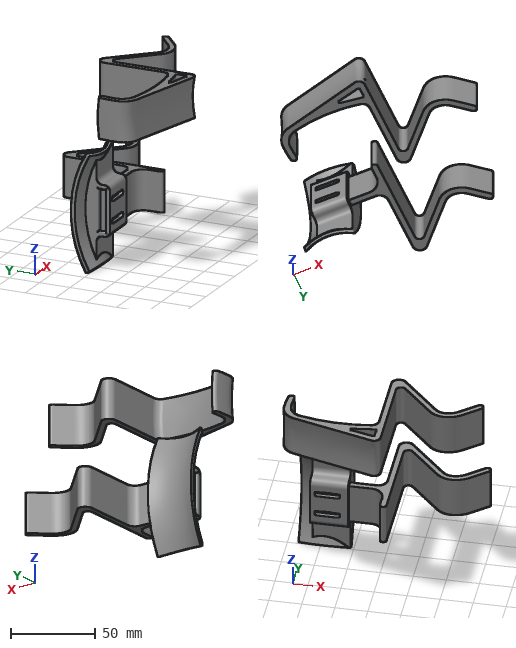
import cadquery as cq
import math

wall = 4.0
clip_height = 25.9
clip_pitch = 63.1
lower_hook_top = 48.0
upper_hook_top = 24.2

crest_radius = 4.7
crook_radius = 3.0
hook_slope = 47.0
bend_drop = 32.3
bend_entry_radius = 12.3
bend_exit_radius = 16.8
tip_angle = 40.0
tip_x = 56.4

lower_post_end = -19.0
tongue_end = -44.1
fillet_above = 5.7
fillet_below = 7.9
screw_diameter = 2.9
screw_chamfer = 0.41
screw_x = -35.0
screw_heights = (-7.0, 7.0)

heel_y = -38.4
heel_radius = 4.0
arm_slope = 15.0
arm_min_x = -58.3
arm_sweep_radius = 64.2
arm_half_angle = 15.0
outer_corner_radius = 10.5
inner_corner_radius = 9.3
lip_radius = 58.3
lip_end = -4.4
floor_radius = 105.0
floor_low = (-22.2, -24.7)
arm_fillet = 4.7
window_corners = [(0, -28.0), (0, -35.2), (-18.8, -30.5)]
window_round = 0.8

saddle_min_x = -53.3
saddle_max_x = -21.6
saddle_top = 16.3
shell_radius = 35.0
shell_thickness = 2.3
shell_sweep_radius = 76.0
shell_half_angle = 30.0
saddle_corner_round = 0.9
plinth_min_x = -44.6
plinth_y = 3.5
sleeve_y = -5.5
sleeve_half_height = 16.3
sleeve_round = 3.9
passage_gap = 0.4
mouth_round = 0.8
slot_width = 3.2
slot_length = 15.4
slot_x = -34.1


def polar(center, radius, degrees):
    """Point on a circle."""
    angle = math.radians(degrees)
    return (center[0] + radius * math.cos(angle), center[1] + radius * math.sin(angle))


def extruded(outline, height):
    """Prism of an XY outline, centred on Z = 0."""
    return outline.extrude(height).translate((0, 0, -height / 2))


def hook(top, post_end):
    """Post and hook of a clip, centred on Z = 0; post_end is the Y of the post's square end."""
    slope = math.radians(hook_slope)
    normal = 90 - hook_slope
    crest = (crest_radius, top - crest_radius)
    crook_x = wall + crook_radius
    crook_offset = crest_radius - wall - crook_radius
    crook_y = crest[1] + (crook_offset - (crook_x - crest[0]) * math.sin(slope)) / math.cos(slope)
    crook = (crook_x, crook_y)
    bottom = top - bend_drop
    entry_y = bottom + bend_entry_radius
    entry_offset = crest_radius + bend_entry_radius - wall
    entry_x = crest[0] + (entry_offset - (entry_y - crest[1]) * math.cos(slope)) / math.sin(slope)
    entry = (entry_x, entry_y)
    leave = (entry_x, bottom + bend_exit_radius)
    entry_start = 180 + normal
    entry_middle = (entry_start + 270) / 2
    leave_end = 270 + tip_angle
    leave_middle = 270 + tip_angle / 2
    centre_start = polar(leave, bend_exit_radius - wall / 2, leave_end)
    tip_rise = (tip_x - centre_start[0]) * math.tan(math.radians(tip_angle))
    tip = (tip_x, centre_start[1] + tip_rise)
    upper_entry = bend_entry_radius - wall
    upper_exit = bend_exit_radius - wall
    outline = (
        cq.Workplane("XY")
        .moveTo(0, post_end)
        .lineTo(0, crest[1])
        .threePointArc(polar(crest, crest_radius, 90 + normal / 2), polar(crest, crest_radius, normal))
        .lineTo(*polar(entry, upper_entry, entry_start))
        .threePointArc(polar(entry, upper_entry, entry_middle), (entry_x, bottom + wall))
        .threePointArc(polar(leave, upper_exit, leave_middle), polar(leave, upper_exit, leave_end))
        .lineTo(*polar(tip, wall / 2, tip_angle + 90))
        .threePointArc(polar(tip, wall / 2, tip_angle), polar(tip, wall / 2, tip_angle - 90))
        .lineTo(*polar(leave, bend_exit_radius, leave_end))
        .threePointArc(polar(leave, bend_exit_radius, leave_middle), (entry_x, bottom))
        .threePointArc(
            polar(entry, bend_entry_radius, entry_middle), polar(entry, bend_entry_radius, entry_start)
        )
        .lineTo(*polar(crook, crook_radius, normal))
        .threePointArc(polar(crook, crook_radius, 90 + normal / 2), polar(crook, crook_radius, 180))
        .lineTo(wall, post_end)
        .close()
    )
    return extruded(outline, clip_height)


def make_lower_clip():
    """Hook whose post carries a straight tongue with a rounded nose and two screw holes."""
    half = wall / 2
    post_round = lower_post_end + half
    nose = tongue_end + half
    foot = extruded(cq.Workplane("XY").center(half, post_round).circle(half), clip_height)
    above = (-fillet_above, half + fillet_above)
    below = (-fillet_below, -half - fillet_below)
    tongue = (
        cq.Workplane("XY")
        .moveTo(half, above[1])
        .lineTo(0, above[1])
        .threePointArc(polar(above, fillet_above, -45), (above[0], half))
        .lineTo(nose, half)
        .threePointArc((tongue_end, 0), (nose, -half))
        .lineTo(below[0], -half)
        .threePointArc(polar(below, fillet_below, 45), (0, below[1]))
        .lineTo(half, below[1])
        .close()
    )
    clip = hook(lower_hook_top, post_round).union(foot)
    clip = clip.union(extruded(tongue, clip_height))
    for z in screw_heights:
        hole = cq.Workplane("XZ", origin=(screw_x, half, z)).circle(screw_diameter / 2).extrude(wall)
        rim = cq.Solid.makeCone(
            screw_diameter / 2 + screw_chamfer,
            screw_diameter / 2,
            screw_chamfer,
            cq.Vector(screw_x, -half, z),
            cq.Vector(0, 1, 0),
        )
        clip = clip.cut(hole).cut(cq.Workplane(rim))
    return clip


def swept_about_x(outline, axis_y, half_angle):
    """Solid swept by an XY outline turning about the line Y = axis_y, Z = 0."""
    swept = outline.revolve(2 * half_angle, (0, axis_y, 0), (1, axis_y, 0))
    return swept.rotate((0, axis_y, 0), (1, axis_y, 0), -half_angle)


def direction(start, end):
    """Angle in degrees from one point to another."""
    return math.degrees(math.atan2(end[1] - start[1], end[0] - start[0])) % 360


def inner_tangent_center(x, radius, floor_center):
    """Centre, at a given X, of an arc that touches the arm's dished floor from above."""
    drop = math.sqrt((floor_radius - radius) ** 2 - (x - floor_center[0]) ** 2)
    return (x, floor_center[1] - drop)


def make_arm():
    """Curved arm with an upturned lip, flat at both ends of the clip and hollowed between them."""
    slope = math.radians(arm_slope)
    underside = 270 - arm_slope
    axis_y = heel_y - arm_sweep_radius
    heel = (wall - heel_radius, heel_y + heel_radius)
    corner_x = arm_min_x + outer_corner_radius
    corner_rise = (outer_corner_radius - heel_radius) / math.cos(slope)
    corner_y = heel[1] + (heel[0] - corner_x) * math.tan(slope) + corner_rise
    corner = (corner_x, corner_y)
    floor_center = (floor_low[0], floor_low[1] + floor_radius)
    inner_x = arm_min_x + wall + inner_corner_radius
    inner_corner = inner_tangent_center(inner_x, inner_corner_radius, floor_center)
    inner_end = direction(floor_center, inner_corner)
    fillet = inner_tangent_center(-arm_fillet, arm_fillet, floor_center)
    fillet_start = direction(floor_center, fillet)
    lip_center = (arm_min_x + lip_radius, inner_corner[1])
    lip_angle = 180 - math.degrees(math.asin((lip_end - lip_center[1]) / lip_radius))
    lip_middle = (180 + lip_angle) / 2
    lip_inner = lip_radius - wall
    lip_cap = polar(lip_center, lip_radius - wall / 2, lip_angle)
    post_overlap = fillet[1] + wall
    outline = (
        cq.Workplane("XY")
        .moveTo(wall, post_overlap)
        .lineTo(wall, heel[1])
        .threePointArc(polar(heel, heel_radius, underside / 2 + 180), polar(heel, heel_radius, underside))
        .lineTo(*polar(corner, outer_corner_radius, underside))
        .threePointArc(
            polar(corner, outer_corner_radius, (underside + 180) / 2), (arm_min_x, corner[1])
        )
        .lineTo(arm_min_x, lip_center[1])
        .threePointArc(polar(lip_center, lip_radius, lip_middle), polar(lip_center, lip_radius, lip_angle))
        .threePointArc(
            polar(lip_cap, wall / 2, lip_angle - 90), polar(lip_center, lip_inner, lip_angle)
        )
        .threePointArc(polar(lip_center, lip_inner, lip_middle), polar(lip_center, lip_inner, 180))
        .threePointArc(
            polar(inner_corner, inner_corner_radius, (180 + inner_end) / 2),
            polar(inner_corner, inner_corner_radius, inner_end),
        )
        .threePointArc(floor_low, polar(fillet, arm_fillet, fillet_start))
        .threePointArc(polar(fillet, arm_fillet, (fillet_start + 360) / 2), (0, fillet[1]))
        .lineTo(0, post_overlap)
        .close()
    )
    slab = cq.Workplane("XY").box(4 * arm_sweep_radius, 4 * arm_sweep_radius, clip_height)
    return swept_about_x(outline, axis_y, arm_half_angle).intersect(slab)


def make_upper_clip():
    """Hook whose post ends in a curved arm pierced by a triangular window."""
    window = extruded(cq.Workplane("XY").polyline(window_corners).close(), clip_height)
    window = window.edges("|Z").fillet(window_round)
    post_end = floor_low[1]
    return hook(upper_hook_top, post_end).union(make_arm()).cut(window)


def saddle_block(face_y, rim_y, bottom_y):
    """Block swept about the rims' axis, under a concave arc from rim to rim and above a flat."""
    outline = (
        cq.Workplane("XY")
        .moveTo(saddle_min_x, rim_y)
        .threePointArc(((saddle_min_x + saddle_max_x) / 2, face_y), (saddle_max_x, rim_y))
        .lineTo(saddle_max_x, bottom_y)
        .lineTo(saddle_min_x, bottom_y)
        .close()
    )
    return swept_about_x(outline, saddle_top - shell_sweep_radius, shell_half_angle)


def make_plinth():
    """Flat plinth with the sleeve standing on it, as a prism along X that is open towards +Y."""
    reach = shell_sweep_radius
    root = (plinth_y - sleeve_round, sleeve_half_height + sleeve_round)
    shoulder = (sleeve_y + sleeve_round, sleeve_half_height - sleeve_round)
    lower_root = (root[0], -root[1])
    lower_shoulder = (shoulder[0], -shoulder[1])
    profile = (
        cq.Workplane("YZ", origin=(plinth_min_x, 0, 0))
        .moveTo(saddle_top, -reach)
        .lineTo(plinth_y, -reach)
        .lineTo(plinth_y, lower_root[1])
        .threePointArc(polar(lower_root, sleeve_round, 45), (root[0], -sleeve_half_height))
        .lineTo(shoulder[0], -sleeve_half_height)
        .threePointArc(polar(lower_shoulder, sleeve_round, 225), (sleeve_y, lower_shoulder[1]))
        .lineTo(sleeve_y, shoulder[1])
        .threePointArc(polar(shoulder, sleeve_round, 135), (shoulder[0], sleeve_half_height))
        .lineTo(root[0], sleeve_half_height)
        .threePointArc(polar(root, sleeve_round, -45), (plinth_y, root[1]))
        .lineTo(plinth_y, reach)
        .lineTo(saddle_top, reach)
        .close()
    )
    return profile.extrude(saddle_max_x - plinth_min_x)


def cut_passage(body):
    """Cut the passage for the tongue and round its mouth on the -X side."""
    width = wall + 2 * passage_gap
    height = clip_height + 2 * passage_gap
    section = cq.Workplane("YZ", origin=(plinth_min_x, 0, 0)).rect(width, height)
    body = body.cut(section.extrude(saddle_max_x - plinth_min_x))
    around_mouth = cq.selectors.BoxSelector(
        (plinth_min_x - passage_gap, -width / 2 - passage_gap, -height / 2 - passage_gap),
        (plinth_min_x + passage_gap, width / 2 + passage_gap, height / 2 + passage_gap),
    )
    return body.edges(around_mouth).fillet(mouth_round)


def make_saddle():
    """Curved shell with a plinth, a sleeve for the tongue and two adjusting slots."""
    half_width = (saddle_max_x - saddle_min_x) / 2
    back_radius = shell_radius + shell_thickness
    arc_center_y = saddle_top + math.sqrt(shell_radius**2 - half_width**2)
    back_rim_y = arc_center_y - math.sqrt(back_radius**2 - half_width**2)
    bottom_y = 2 * sleeve_y
    blank = saddle_block(arc_center_y - shell_radius, saddle_top, bottom_y)
    blank = blank.faces("<X or >X").edges("%LINE").fillet(saddle_corner_round)
    hollow = saddle_block(arc_center_y - back_radius, back_rim_y, bottom_y)
    saddle = cut_passage(blank.cut(hollow).union(make_plinth().intersect(blank)))
    for z in screw_heights:
        slot = cq.Workplane("XZ", origin=(slot_x, 0, z)).slot2D(slot_length, slot_width)
        saddle = saddle.cut(slot.extrude(-sleeve_y))
    return saddle


lower_clip = make_lower_clip()
upper_clip = make_upper_clip().translate((0, 0, clip_pitch))
saddle = make_saddle()
result = cq.Compound.makeCompound([lower_clip.val(), upper_clip.val(), saddle.val()])